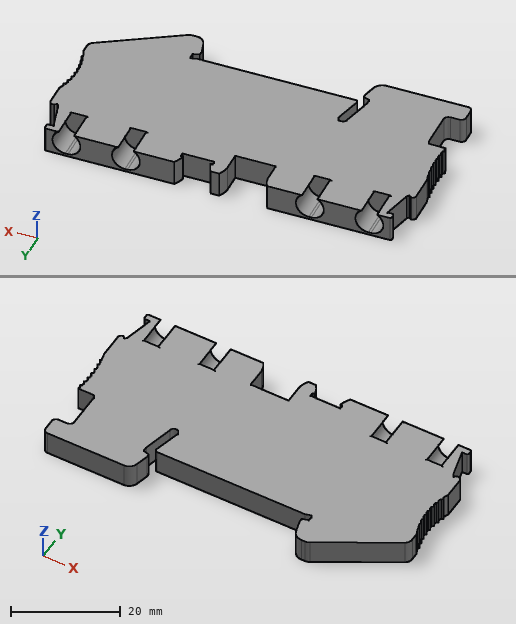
import cadquery as cq
import math

thickness = 5.2
height = 35.2
left_x = -36.0
right_x = 36.2

hook_tip_x = 34.25
hook_root_x = 32.95
hook_under_y = 33.9
hook_radius = 0.35
neck_x = 34.4
shoulder_y = 28.2
shoulder_inner_x = 35.2
shoulder_radius = 0.7
relief_x = 34.75
relief_depth = 0.4

grip_mid_y = 17.7
left_grip_top_y = 22.5
left_grip_mid_x = -35.3
left_grip_bottom_x = -35.7
right_grip_top_y = 23.4
right_grip_mid_x = 35.0
right_grip_bottom_y = 11.8
left_rib_count = 7
right_rib_count = 8
rib_pitch = 1.23
rib_first_y = 13.4
rib_radius = 0.27

arm_top_y = 12.6
arm_x = -32.05
foot_toe_x = -35.75
foot_top_y = 4.0
foot_radius = 0.9
arm_fillet = 0.95
arm_top_fillet = 0.6

seat_y = 5.95
claw_x = 16.15
claw_tip_y = 4.65
claw_root_x = 17.45
claw_root_y = 5.0
claw_flank_y = 3.9
claw_flank_tilt = math.radians(15)
claw_heel_x = claw_x + claw_flank_y * math.tan(claw_flank_tilt)
claw_heel_radius = 2.0
seat_bump_x = 16.0
seat_bump_y = 6.35
seat_bump_radius = 0.3
seat_corner_radius = 0.45

slot_tilt = math.radians(15)
slot_width = 1.68
slot_top_y = 12.65
slot_mid = (-15.76, 9.2)

slope_start_x = 20.0
slope_angle = math.radians(30)
slope_end_y = (right_x - slope_start_x) * math.tan(slope_angle)
slope_start_radius = 1.8
slope_end_radius = 1.5

deep_left_x = -9.0
deep_right_x = -1.0
deep_floor_y = 29.3
deep_mouth_y = 33.2
deep_flare = 0.75
shallow_left_x = 1.85
shallow_right_x = 8.15
shallow_floor_y = 32.35
shallow_lip_y = 33.1
shallow_lip = 0.45
shallow_flare = 0.9
flare_bulge = 0.12

entry_centers = (18.15, 29.9)
entry_flat = 0.5
entry_radius = 2.5
entry_opening = 3.04
entry_length = 6.1


def mirrored(points):
    """Reflect points across X = 0 and reverse their order."""
    return [(-x, y) for x, y in reversed(points)]


def flare_mid(start, end, side):
    """Middle point of a recess mouth arc, bulged sideways towards the open recess."""
    return ((start[0] + end[0]) / 2 + side * flare_bulge, (start[1] + end[1]) / 2)


def slot_x(y, side):
    """X of the spring slot at height y: -1 left edge, 0 center line, 1 right edge."""
    edge_offset = slot_width / 2 / math.cos(slot_tilt)
    return slot_mid[0] + (y - slot_mid[1]) * math.tan(slot_tilt) + side * edge_offset


def outline():
    """Closed outline of the plate, with the filleted corners still sharp."""
    slot_end_y = slot_top_y - slot_width / 2
    slot_tip = (slot_x(slot_top_y, 0), slot_top_y)

    left_hook = [
        (left_x, shoulder_y),
        (-shoulder_inner_x, shoulder_y),
        (-relief_x, shoulder_y - relief_depth),
        (-neck_x, shoulder_y),
        (-hook_root_x, hook_under_y),
        (-hook_tip_x, hook_under_y),
        (-hook_tip_x, height),
    ]
    right_hook = mirrored(left_hook[1:]) + [(right_x, shoulder_y)]

    deep_left_top = (deep_left_x - deep_flare, height)
    deep_left_mouth = (deep_left_x, deep_mouth_y)
    deep_right_mouth = (deep_right_x, deep_mouth_y)
    deep_right_top = (deep_right_x + deep_flare, height)
    lip_left = (shallow_left_x + shallow_lip, shallow_lip_y)
    lip_left_top = (lip_left[0] - shallow_flare, height)
    lip_right = (shallow_right_x - shallow_lip, shallow_lip_y)
    lip_right_top = (lip_right[0] + shallow_flare, height)

    sketch = cq.Workplane("XY").moveTo(left_x, left_grip_top_y)
    for point in left_hook:
        sketch = sketch.lineTo(*point)

    sketch = (
        sketch.lineTo(*deep_left_top)
        .threePointArc(flare_mid(deep_left_top, deep_left_mouth, 1), deep_left_mouth)
        .lineTo(deep_left_x, deep_floor_y)
        .lineTo(deep_right_x, deep_floor_y)
        .lineTo(*deep_right_mouth)
        .threePointArc(flare_mid(deep_right_mouth, deep_right_top, -1), deep_right_top)
        .lineTo(*lip_left_top)
        .threePointArc(flare_mid(lip_left_top, lip_left, 1), lip_left)
        .lineTo(shallow_left_x, shallow_lip_y)
        .lineTo(shallow_left_x, shallow_floor_y)
        .lineTo(shallow_right_x, shallow_floor_y)
        .lineTo(shallow_right_x, shallow_lip_y)
        .lineTo(*lip_right)
        .threePointArc(flare_mid(lip_right, lip_right_top, -1), lip_right_top)
    )
    for point in right_hook:
        sketch = sketch.lineTo(*point)

    sketch = (
        sketch.lineTo(right_x, right_grip_top_y)
        .threePointArc((right_grip_mid_x, grip_mid_y), (right_x, right_grip_bottom_y))
        .lineTo(right_x, slope_end_y)
        .lineTo(slope_start_x, 0)
        .lineTo(claw_heel_x, 0)
        .lineTo(claw_x, claw_flank_y)
        .lineTo(claw_x, claw_tip_y)
        .lineTo(claw_root_x, claw_root_y)
        .lineTo(claw_root_x, seat_bump_y)
        .lineTo(seat_bump_x, seat_y)
    )

    return (
        sketch.lineTo(slot_x(seat_y, 1), seat_y)
        .lineTo(slot_x(slot_end_y, 1), slot_end_y)
        .threePointArc(slot_tip, (slot_x(slot_end_y, -1), slot_end_y))
        .lineTo(-claw_root_x, seat_y)
        .lineTo(-claw_root_x, claw_root_y)
        .lineTo(-claw_x, claw_tip_y)
        .lineTo(-claw_x, claw_flank_y)
        .lineTo(-claw_heel_x, 0)
        .lineTo(foot_toe_x, 0)
        .lineTo(foot_toe_x, foot_top_y)
        .lineTo(arm_x, foot_top_y)
        .lineTo(arm_x, arm_top_y)
        .lineTo(left_grip_bottom_x, arm_top_y)
        .threePointArc((left_grip_mid_x, grip_mid_y), (left_x, left_grip_top_y))
        .close()
    )


def round_corner(body, x, y, radius):
    """Fillet the upright edge that stands at (x, y)."""
    edge = cq.selectors.NearestToPointSelector((x, y, thickness / 2))
    return body.edges("|Z").edges(edge).fillet(radius)


def plate():
    """Extruded plate with its outline corners rounded."""
    body = outline().extrude(thickness)
    corners = [
        (left_x, shoulder_y, shoulder_radius),
        (right_x, shoulder_y, shoulder_radius),
        (right_x, slope_end_y, slope_end_radius),
        (slope_start_x, 0, slope_start_radius),
        (claw_root_x, seat_bump_y, seat_bump_radius),
        (slot_x(seat_y, 1), seat_y, seat_corner_radius),
        (foot_toe_x, 0, foot_radius),
        (foot_toe_x, foot_top_y, foot_radius),
        (arm_x, foot_top_y, arm_fillet),
        (arm_x, arm_top_y, arm_top_fillet),
    ]
    for side in (-1, 1):
        corners.append((side * claw_heel_x, 0, claw_heel_radius))
        corners.append((side * hook_tip_x, height, hook_radius))
        corners.append((side * hook_tip_x, hook_under_y, hook_radius))
    for x, y, radius in corners:
        body = round_corner(body, x, y, radius)
    return body


def grip_x(y, top, middle, bottom):
    """X at height y on the parabola through three grip points, very close to their arc."""
    (x1, y1), (x2, y2), (x3, y3) = top, middle, bottom
    return (
        x1 * (y - y2) * (y - y3) / ((y1 - y2) * (y1 - y3))
        + x2 * (y - y1) * (y - y3) / ((y2 - y1) * (y2 - y3))
        + x3 * (y - y1) * (y - y2) / ((y3 - y1) * (y3 - y2))
    )


def grip_ribs(count, top, middle, bottom):
    """Upright round ribs spaced along one grip."""
    heights = [rib_first_y + index * rib_pitch for index in range(count)]
    centers = [(grip_x(y, top, middle, bottom), y) for y in heights]
    return cq.Workplane("XY").pushPoints(centers).circle(rib_radius).extrude(thickness)


def wire_entry(center_x):
    """Channel along Y with round sides and a narrow flat floor."""
    arc_offset = entry_flat / 2
    opening_offset = entry_opening / 2 - arc_offset
    axis_z = thickness - math.sqrt(entry_radius**2 - opening_offset**2)
    half_width = arc_offset + entry_radius
    floor_z = axis_z - entry_radius
    return (
        cq.Workplane("XZ", origin=(center_x, height, 0))
        .moveTo(-entry_opening / 2, thickness)
        .threePointArc((-half_width, axis_z), (-arc_offset, floor_z))
        .lineTo(arc_offset, floor_z)
        .threePointArc((half_width, axis_z), (entry_opening / 2, thickness))
        .close()
        .extrude(entry_length)
    )


left_ribs = grip_ribs(
    left_rib_count,
    (left_x, left_grip_top_y),
    (left_grip_mid_x, grip_mid_y),
    (left_grip_bottom_x, arm_top_y),
)
right_ribs = grip_ribs(
    right_rib_count,
    (right_x, right_grip_top_y),
    (right_grip_mid_x, grip_mid_y),
    (right_x, right_grip_bottom_y),
)
result = plate().union(left_ribs).union(right_ribs)
for entry_center in entry_centers:
    for side in (-1, 1):
        result = result.cut(wire_entry(side * entry_center))